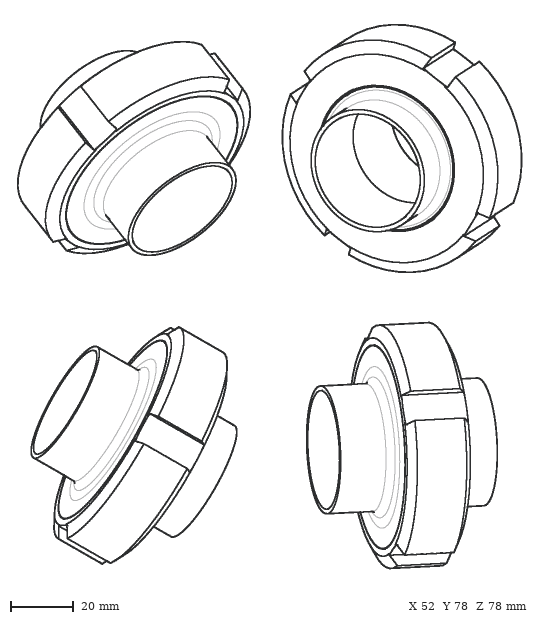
import cadquery as cq
import math

total_length = 52.0
bore_radius = 38.0 / 2
tube_radius = 41.0 / 2

nut_start = 13.0
nut_width = 21.0
nut_end = nut_start + nut_width
nut_radius = 78.0 / 2
nut_face_radius = 70.0 / 2
nut_chamfer_length = (nut_radius - nut_face_radius) * math.tan(math.radians(30))
nut_lip_bore_radius = 49.0 / 2
nut_thread_bore_radius = 65.4 / 2
nut_lip_thickness = 5.0
slot_count = 4
slot_width = 10.0
slot_floor_distance = nut_face_radius
slot_start_angle = 30.0

liner_hub_radius = 48.0 / 2
liner_fillet_radius = 2.5
collar_radius = 61.19 / 2
collar_start = nut_start + nut_lip_thickness
joint_x = 26.0

flange_radius = 65.0 / 2
cone_radius = 51.8 / 2
cone_angle = math.radians(10.0)
male_fillet_radius = 2.5


def revolve_about_x(profile):
    """Turn a closed profile drawn as (x, radius) once around the X axis."""
    return profile.close().revolve(360, (0, 0, 0), (1, 0, 0))


def make_nut():
    body = revolve_about_x(
        cq.Workplane("XY")
        .moveTo(nut_start, nut_lip_bore_radius)
        .lineTo(nut_start, nut_face_radius)
        .lineTo(nut_start + nut_chamfer_length, nut_radius)
        .lineTo(nut_end - nut_chamfer_length, nut_radius)
        .lineTo(nut_end, nut_face_radius)
        .lineTo(nut_end, nut_thread_bore_radius)
        .lineTo(collar_start, nut_thread_bore_radius)
        .lineTo(collar_start, nut_lip_bore_radius)
    )
    slot_depth = nut_radius - slot_floor_distance
    slot = cq.Workplane("XY").box(nut_width, slot_width, slot_depth, centered=(False, True, False))
    slot = slot.translate((nut_start, 0, slot_floor_distance))
    for index in range(slot_count):
        angle = slot_start_angle + index * 360.0 / slot_count
        body = body.cut(slot.rotate((0, 0, 0), (1, 0, 0), angle))
    return body


def make_liner():
    fillet_start = nut_start - liner_fillet_radius
    fillet_top = tube_radius + liner_fillet_radius
    fillet_offset = liner_fillet_radius * math.sin(math.radians(45))
    fillet_middle = (fillet_start + fillet_offset, fillet_top - fillet_offset)
    return revolve_about_x(
        cq.Workplane("XY")
        .moveTo(0, bore_radius)
        .lineTo(0, tube_radius)
        .lineTo(fillet_start, tube_radius)
        .threePointArc(fillet_middle, (nut_start, fillet_top))
        .lineTo(nut_start, liner_hub_radius)
        .lineTo(collar_start, liner_hub_radius)
        .lineTo(collar_start, collar_radius)
        .lineTo(joint_x, collar_radius)
        .lineTo(joint_x, bore_radius)
    )


def make_male_part():
    center_radius = tube_radius + male_fillet_radius
    cone_end_radius = center_radius - male_fillet_radius * math.sin(cone_angle)
    cone_end_x = nut_end + (cone_radius - cone_end_radius) * math.tan(cone_angle)
    center_x = cone_end_x + male_fillet_radius * math.cos(cone_angle)

    def fillet_point(angle):
        """Point on the fillet, with the angle measured from the tube towards the cone."""
        return (
            center_x - male_fillet_radius * math.sin(angle),
            center_radius - male_fillet_radius * math.cos(angle),
        )

    sweep = math.pi / 2 - cone_angle
    return revolve_about_x(
        cq.Workplane("XY")
        .moveTo(joint_x, bore_radius)
        .lineTo(joint_x, flange_radius)
        .lineTo(nut_end, flange_radius)
        .lineTo(nut_end, cone_radius)
        .lineTo(cone_end_x, cone_end_radius)
        .threePointArc(fillet_point(sweep / 2), fillet_point(0))
        .lineTo(total_length, tube_radius)
        .lineTo(total_length, bore_radius)
    )


nut = make_nut()
liner = make_liner()
male_part = make_male_part()

result = cq.Compound.makeCompound([nut.val(), liner.val(), male_part.val()])